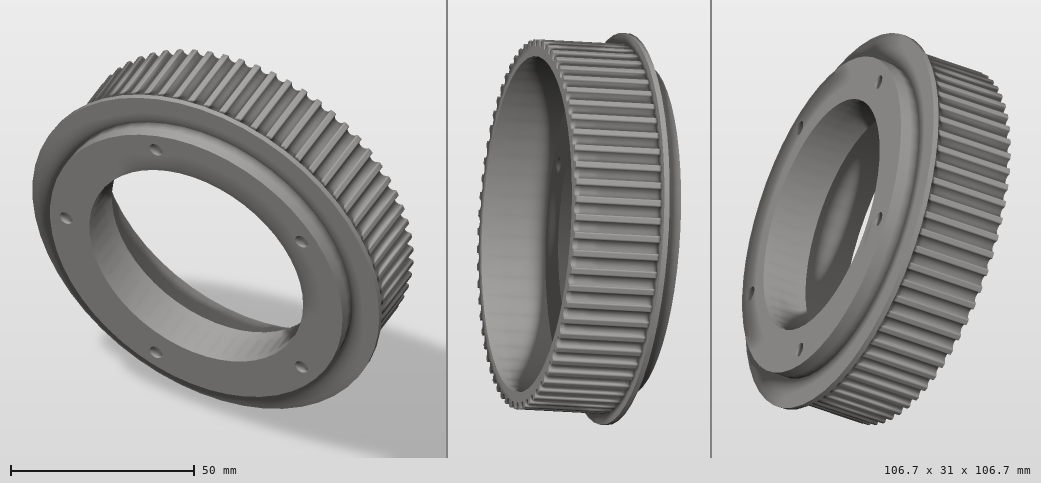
import cadquery as cq
import math


flange_diameter = 106.7
flange_thickness = 1.5
hub_diameter = 90.0
hub_length = 5.5
rim_diameter = 100.7
rim_length = 24.0
bore_diameter = 65.7
bore_length = 13.0
recess_diameter = 91.6

tooth_count = 64
groove_width = 3.0
groove_depth = 2.0
tip_radius = 0.4

hole_count = 5
hole_diameter = 4.0
hole_circle_radius = 40.0
first_hole_angle = 180.0

rim_start = hub_length + flange_thickness
total_length = rim_start + rim_length
rim_radius = rim_diameter / 2
groove_radius = groove_width / 2
pitch_angle = 2 * math.pi / tooth_count


def disc(diameter, start, length):
    """Solid disc around the Y axis, from y = start to y = start + length."""
    return (
        cq.Workplane("XZ", origin=(0, start, 0))
        .circle(diameter / 2)
        .extrude(-length)
    )


def turned(point, angle):
    """Point of the outline, turned about the axis by an angle in radians."""
    x, z = point
    return (
        x * math.cos(angle) - z * math.sin(angle),
        x * math.sin(angle) + z * math.cos(angle),
    )


def mirrored(point):
    """Matching point on the other side of the groove's centre line."""
    x, z = point
    return (-x, z)


def toothed_rim():
    """Rim whose outline repeats one round-bottomed groove with rounded tooth tips."""
    groove_center = rim_radius - groove_depth + groove_radius
    tip_half_angle = math.asin((groove_radius + tip_radius) / rim_radius)
    tip_start_z = rim_radius * math.cos(tip_half_angle)
    tip_center_z = tip_start_z - tip_radius
    tip_offset = tip_radius * math.cos(math.pi / 4)

    tip_start = (groove_radius + tip_radius, tip_start_z)
    tip_middle = (groove_radius + tip_radius - tip_offset, tip_center_z + tip_offset)
    wall_top = (groove_radius, tip_center_z)
    wall_foot = (groove_radius, groove_center)
    bottom = (0, rim_radius - groove_depth)

    outline = cq.Workplane("XZ", origin=(0, rim_start, 0)).moveTo(*tip_start)
    for tooth in range(tooth_count):
        angle = tooth * pitch_angle
        outline = (
            outline
            .threePointArc(turned(tip_middle, angle), turned(wall_top, angle))
            .lineTo(*turned(wall_foot, angle))
            .threePointArc(turned(bottom, angle), turned(mirrored(wall_foot), angle))
            .lineTo(*turned(mirrored(wall_top), angle))
            .threePointArc(turned(mirrored(tip_middle), angle), turned(mirrored(tip_start), angle))
        )
        land_middle = turned((0, rim_radius), angle + pitch_angle / 2)
        next_tip_start = turned(tip_start, angle + pitch_angle)
        outline = outline.threePointArc(land_middle, next_tip_start)
    return outline.close().extrude(-rim_length)


def bolt_holes():
    """Ring of holes through the web between the hub face and the recess."""
    return (
        cq.Workplane("XZ")
        .polarArray(hole_circle_radius, first_hole_angle, 360, hole_count)
        .circle(hole_diameter / 2)
        .extrude(-bore_length)
    )


hub = disc(hub_diameter, 0, hub_length)
flange = disc(flange_diameter, hub_length, flange_thickness)
bore = disc(bore_diameter, 0, bore_length)
recess = disc(recess_diameter, bore_length, total_length - bore_length)

result = hub.union(flange).union(toothed_rim()).cut(bore).cut(recess).cut(bolt_holes())